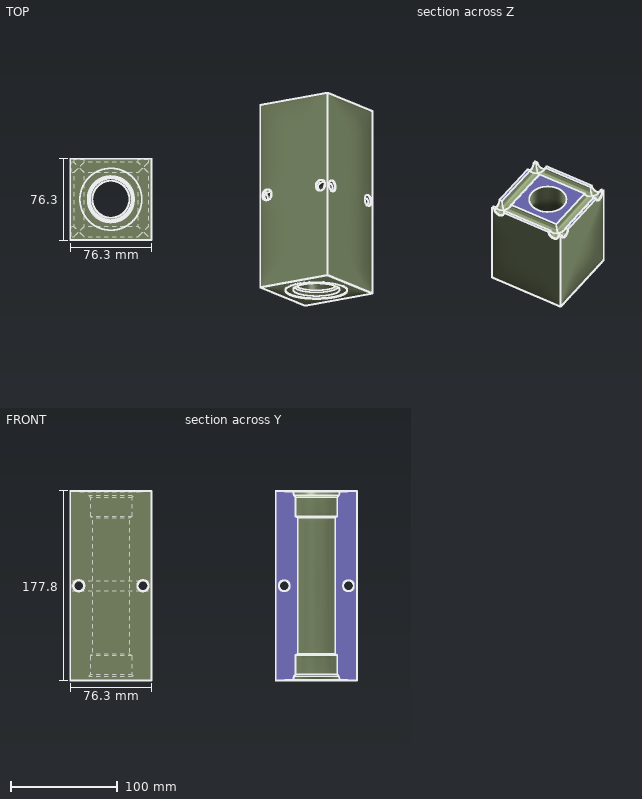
import cadquery as cq

length = 177.8
side = 76.3
edge_chamfer = 0.4

spotface_diameter = 58.0
spotface_depth = 0.9
seat_top_diameter = 43.5
seat_bottom_diameter = 41.6
seat_depth = 4.3
thread_diameter = 39.0
thread_start_depth = 5.9
thread_end_depth = 23.8

bore_diameter = 34.5
drill_tip_height = 1.2

cross_hole_diameter = 9.8
cross_hole_offset = 30.0
cross_hole_chamfer = 0.5


def make_block():
    block = cq.Workplane("XY").box(side, side, length)
    return block.edges().chamfer(edge_chamfer)


def make_port():
    """Revolved cutter for the port in the top face."""
    top = length / 2
    return (
        cq.Workplane("XZ")
        .moveTo(0, top)
        .lineTo(spotface_diameter / 2, top)
        .lineTo(spotface_diameter / 2, top - spotface_depth)
        .lineTo(seat_top_diameter / 2, top - spotface_depth)
        .lineTo(seat_bottom_diameter / 2, top - seat_depth)
        .lineTo(thread_diameter / 2, top - thread_start_depth)
        .lineTo(thread_diameter / 2, top - thread_end_depth)
        .lineTo(bore_diameter / 2, top - thread_end_depth - drill_tip_height)
        .lineTo(0, top - thread_end_depth - drill_tip_height)
        .close()
        .revolve(360, (0, 0, 0), (0, 1, 0))
    )


def make_bore():
    return cq.Workplane("XY").circle(bore_diameter / 2).extrude(length / 2, both=True)


def make_cross_hole():
    """Cutter along Y with a flared mouth at each end, centred on the origin."""
    radius = cross_hole_diameter / 2
    mouth_radius = radius + cross_hole_chamfer
    mouth = side / 2
    return (
        cq.Workplane("XY")
        .moveTo(0, -mouth)
        .lineTo(mouth_radius, -mouth)
        .lineTo(radius, -mouth + cross_hole_chamfer)
        .lineTo(radius, mouth - cross_hole_chamfer)
        .lineTo(mouth_radius, mouth)
        .lineTo(0, mouth)
        .close()
        .revolve(360, (0, 0, 0), (0, 1, 0))
    )


port = make_port()
cross_hole = make_cross_hole()

result = make_block().cut(make_bore()).cut(port).cut(port.mirror("XY"))

for offset in (-cross_hole_offset, cross_hole_offset):
    hole_along_y = cross_hole.translate((offset, 0, 0))
    hole_along_x = hole_along_y.rotate((0, 0, 0), (0, 0, 1), 90)
    result = result.cut(hole_along_y).cut(hole_along_x)